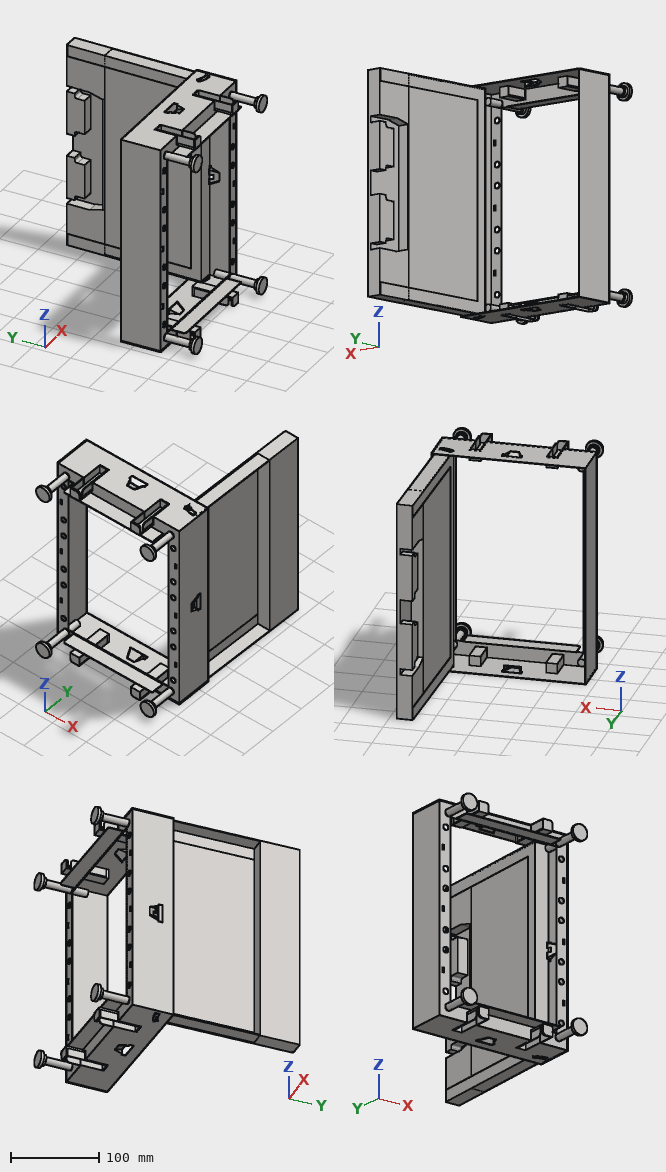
import cadquery as cq
import math

sheet = 1.0

frame_width = 181.0
frame_height = 264.0
frame_depth = 51.5
side_flange = 16.0
end_flange = 18.0

group_pitch = 75.0
hole_offset = 25.4
hole_diameter = 6.9
hole_inset = 9.2
slot_inset = 5.8
slot_width = 2.0
slot_height = 5.8

lip_half_width = 66.3
lip_length = 18.8
lip_chamfer = 2.5

clip_x = 45.0
clip_width = 13.2
clip_depth = 13.0
clip_back = 27.2
clip_front = -23.2
clip_thick = 2.0
clip_gap_back = -17.2
clip_corner = 4.0

louvre_start = 22.0
louvre_end = 33.0
louvre_depth = 6.9
louvre_narrow_half = 5.8
louvre_wide_half = 10.0
louvre_slot_width = 22.7
louvre_slot_length = 5.0
louvre_notch_width = 5.3
louvre_notch_length = 5.0

arc_slot_center = (84.5, 60.7)
arc_slot_outer = 29.3
arc_slot_inner = 24.0
arc_slot_sweep = 35.0
hinge_x = 74.0
hinge_y = 38.8

foot_x = 77.5
foot_z = 118.8
foot_reach = 41.0
foot_inside = 20.0
shaft_diameter = 9.0
collar_diameter = 13.2
collar_length = 4.2
disc_diameter = 20.0
disc_length = 3.7

overall_depth = 250.0
door_angle = -1.0
door_thickness = 19.0
door_length = 175.5
door_height = 261.5
door_skin = 1.3
door_cavity_back = 160.0
panel_height = 232.0
panel_border = 13.7
panel_recess = 0.5
rail_setback = 1.3
hinge_hole_diameter = 4.0

pocket_depth = 14.5
pocket_length = 46.7
pocket_flat_length = 29.0
pocket_half_height = 76.9
pocket_half_narrow = 72.0
pad_z = 42.0
pad_length = 23.2
pad_step = 10.3
pad_half_wide = 27.7
pad_half_narrow = 22.0
pad_fillet = 3.2

half_width = frame_width / 2
half_height = frame_height / 2
inner_half_width = half_width - sheet
inner_half_height = half_height - sheet


def box(x_range, y_range, z_range):
    """Box between two values along each axis."""
    spans = [high - low for low, high in (x_range, y_range, z_range)]
    corner = (x_range[0], y_range[0], z_range[0])
    return cq.Workplane("XY").box(*spans, centered=False).translate(corner)


def turned(shape, angle):
    """Shape turned about the Y axis, from the top plate to another plate."""
    return shape.rotate((0, 0, 0), (0, 1, 0), angle)


def frame_shell():
    """Four sheet walls with a front flange turned inward."""
    width_span = (-half_width, half_width)
    height_span = (-half_height, half_height)
    shell = box(width_span, (0, frame_depth), height_span)
    inside = box(
        (-inner_half_width, inner_half_width),
        (sheet, frame_depth),
        (-inner_half_height, inner_half_height),
    )
    opening_x = half_width - side_flange
    opening_z = half_height - end_flange
    opening = box((-opening_x, opening_x), (0, sheet), (-opening_z, opening_z))
    return shell.cut(inside).cut(opening)


def flange_cuts():
    """Round holes and slots through both side flanges."""
    cuts = cq.Workplane("XY")
    for side in (-1, 1):
        for group in (-1, 0, 1):
            middle_z = group * group_pitch
            slot_x = side * (half_width - slot_inset)
            cuts = cuts.add(
                cq.Workplane("XY").box(slot_width, 2 * sheet, slot_height).translate((slot_x, 0, middle_z))
            )
            for offset in (-hole_offset, hole_offset):
                hole = (
                    cq.Workplane("XZ", origin=(side * (half_width - hole_inset), sheet, middle_z + offset))
                    .circle(hole_diameter / 2)
                    .extrude(sheet)
                )
                cuts = cuts.add(hole)
    return cuts.combine()


def lip(level):
    """Forward lip with its lower face at the given height and its left corner cut off."""
    return (
        box((-lip_half_width, lip_half_width), (-lip_length, sheet), (level, level + sheet))
        .edges("|Z and <X and <Y")
        .chamfer(lip_chamfer)
    )


def clip_outer(x):
    """Outer block of a clip in the top plate."""
    half = clip_width / 2
    floor = half_height - clip_depth
    return box((x - half, x + half), (clip_front, clip_back + clip_thick), (floor, half_height))


def clip_inner(x):
    """Space inside a clip: the channel, the gap in its right wall and the rounded corners."""
    half = clip_width / 2
    inner_half = half - sheet
    floor = half_height - clip_depth + clip_thick
    gap_front = clip_front + clip_thick
    channel = box((x - inner_half, x + inner_half), (gap_front, clip_back), (floor, half_height))
    gap = box((x, x + half), (gap_front, clip_gap_back), (floor, half_height))
    wall_corner = corner_waste("YZ", clip_gap_back, 1, half).translate((x, 0, 0))
    face_corner = corner_waste("XZ", x + half, -1, clip_thick).translate((0, gap_front, 0))
    return channel.union(gap).union(wall_corner).union(face_corner)


def corner_waste(plane, edge, direction, thickness):
    """Waste outside the rounded upper corner of a clip wall."""
    arc_reach = clip_corner * (1 - math.sqrt(0.5))
    return (
        cq.Workplane(plane)
        .moveTo(edge, half_height)
        .lineTo(edge, half_height - clip_corner)
        .threePointArc(
            (edge + direction * arc_reach, half_height - arc_reach),
            (edge + direction * clip_corner, half_height),
        )
        .close()
        .extrude(thickness)
    )


def louvre_wedge(level, rise, margin):
    """Wedge that deepens toward the rear and narrows toward the front."""
    top = level - rise
    profile = (
        cq.Workplane("YZ")
        .polyline([(louvre_start, top), (louvre_end, top), (louvre_end, top - (louvre_depth - sheet))])
        .close()
        .extrude(louvre_wide_half, both=True)
    )
    narrow = louvre_narrow_half - margin
    wide = louvre_wide_half - margin
    footprint = (
        cq.Workplane("XY", origin=(0, 0, level - louvre_depth))
        .polyline([(-narrow, louvre_start), (narrow, louvre_start), (wide, louvre_end), (-wide, louvre_end)])
        .close()
        .extrude(louvre_depth)
    )
    return profile.intersect(footprint)


def louvre_cut(level):
    """Hollow of a louvre and the slot behind it."""
    half = louvre_slot_width / 2
    slot = box((-half, half), (louvre_end, louvre_end + louvre_slot_length), (level - sheet, level))
    return louvre_wedge(level, 0, sheet).union(slot)


def louvre_notch(level):
    """Notch in the rear edge of the right louvre."""
    half = louvre_notch_width / 2
    return box((-half, half), (louvre_end - louvre_notch_length, louvre_end), (level - louvre_depth, level))


def arc_slot_point(radius, angle):
    """Point of the curved slot, with the angle measured from its right end."""
    turn = math.radians(angle)
    center_x, center_y = arc_slot_center
    return (center_x - radius * math.sin(turn), center_y - radius * math.cos(turn))


def arc_slot():
    """Ring sector through both end plates."""
    middle = arc_slot_sweep / 2
    return (
        cq.Workplane("XY", origin=(0, 0, -half_height))
        .moveTo(*arc_slot_point(arc_slot_outer, 0))
        .threePointArc(
            arc_slot_point(arc_slot_outer, middle),
            arc_slot_point(arc_slot_outer, arc_slot_sweep),
        )
        .lineTo(*arc_slot_point(arc_slot_inner, arc_slot_sweep))
        .threePointArc(
            arc_slot_point(arc_slot_inner, middle),
            arc_slot_point(arc_slot_inner, 0),
        )
        .close()
        .extrude(frame_height)
    )


def foot(x, z):
    """Shaft through the flange, ending in a collar and a disc."""
    front = cq.Workplane("XZ", origin=(x, -foot_reach, z))
    disc = front.circle(disc_diameter / 2).extrude(-disc_length)
    collar = front.circle(collar_diameter / 2).extrude(-(disc_length + collar_length))
    shaft = front.circle(shaft_diameter / 2).extrude(-(foot_reach + foot_inside))
    return disc.union(collar).union(shaft)


def make_frame():
    """Frame with its flange holes, lips, clips, louvres, curved slots and feet."""
    body = frame_shell().cut(flange_cuts())
    for angle in (0, 180):
        for x in (-clip_x, clip_x):
            body = body.union(turned(clip_outer(x), angle))
            body = body.cut(turned(clip_inner(x), angle))
    lip_level = half_height - end_flange
    body = body.union(lip(lip_level)).union(lip(-lip_level - sheet))
    for angle, level in ((0, half_height), (180, half_height), (90, half_width)):
        body = body.union(turned(louvre_wedge(level, sheet, 0), angle))
        body = body.cut(turned(louvre_cut(level), angle))
    body = body.cut(turned(louvre_notch(half_width), 90))
    body = body.cut(arc_slot())
    for x in (-foot_x, foot_x):
        for z in (-foot_z, foot_z):
            body = body.union(foot(x, z))
    return body


def door_pocket():
    """Tapered pocket open at the rear, less the two pads that stay in it."""
    face_x = -door_thickness
    pocket = (
        cq.Workplane("YZ", origin=(face_x, 0, 0))
        .polyline(
            [
                (0, -pocket_half_height),
                (-pocket_flat_length, -pocket_half_height),
                (-pocket_length, -pocket_half_narrow),
                (-pocket_length, pocket_half_narrow),
                (-pocket_flat_length, pocket_half_height),
                (0, pocket_half_height),
            ]
        )
        .close()
        .extrude(pocket_depth)
    )
    for z in (-pad_z, pad_z):
        pocket = pocket.cut(door_pad().translate((face_x, 0, z)))
    return pocket


def door_pad():
    """Stepped pad with a concave round in each step."""
    wide_end = -pad_step
    pad = (
        cq.Workplane("YZ")
        .polyline(
            [
                (0, -pad_half_wide),
                (wide_end, -pad_half_wide),
                (wide_end, -pad_half_narrow),
                (-pad_length, -pad_half_narrow),
                (-pad_length, pad_half_narrow),
                (wide_end, pad_half_narrow),
                (wide_end, pad_half_wide),
                (0, pad_half_wide),
            ]
        )
        .close()
        .extrude(pocket_depth)
    )
    step_corners = cq.selectors.BoxSelector(
        (0, wide_end - pad_fillet, -pad_half_narrow - pad_fillet),
        (pocket_depth, wide_end + pad_fillet, pad_half_narrow + pad_fillet),
    )
    return pad.edges("|X").edges(step_corners).fillet(pad_fillet)


def panel_cut():
    """Shallow recess of the left face, running out at the rear and past the ends of the rails."""
    depth_range = (-door_thickness, -door_thickness + panel_recess)
    half_panel = panel_height / 2
    panel = box(depth_range, (-door_length + panel_border, 0), (-half_panel, half_panel))
    rail_ends = box(depth_range, (-rail_setback, 0), (-door_height / 2, door_height / 2))
    return panel.union(rail_ends)


def make_door():
    """Hollow door, open on its right side, shaped square and then swung open."""
    half = door_height / 2
    swing = math.radians(-door_angle)
    rear_y = overall_depth - foot_reach - door_thickness * math.sin(swing)
    body = box((-door_thickness, 0), (-door_length, 0), (-half, half))
    cavity = box(
        (-door_thickness + door_skin, 0),
        (-door_length + sheet, door_cavity_back - rear_y),
        (-half + sheet, half - sheet),
    )
    body = body.cut(cavity).cut(door_pocket()).cut(panel_cut())
    body = body.rotate((0, 0, 0), (0, 0, 1), door_angle).translate((half_width, rear_y, 0))
    hinge_hole = (
        cq.Workplane("XY", origin=(hinge_x, hinge_y, -half))
        .circle(hinge_hole_diameter / 2)
        .extrude(door_height)
    )
    return body.cut(hinge_hole)


frame = make_frame()
door = make_door()
result = cq.Compound.makeCompound([frame.val(), door.val()])